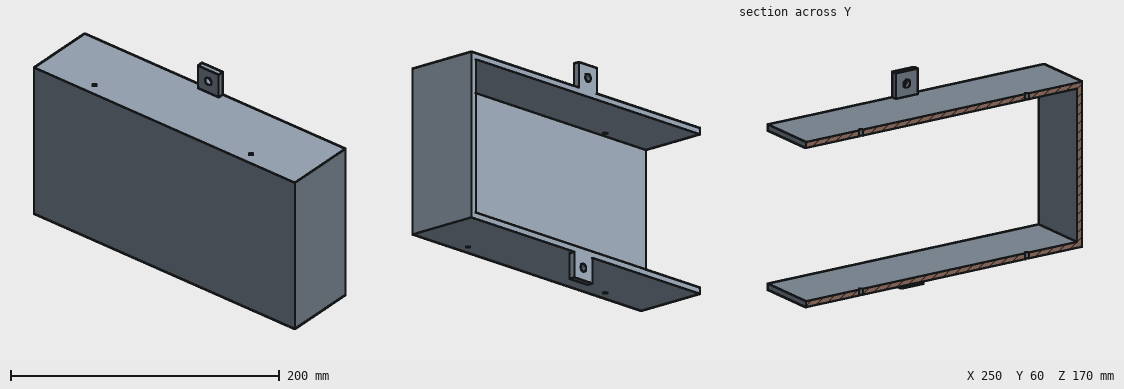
import cadquery as cq

length = 250.0
depth = 60.0
height = 130.0
wall = 5.0

tab_size = 20.0
tab_hole_diameter = 6.0
top_tab_center_x = -2.5
bottom_tab_center_x = 2.5

flange_hole_diameter = 3.0
flange_hole_spacing = 150.0
flange_hole_from_front = 10.0


def make_housing():
    """Box open at the rear and at the -X end, with its front face at Y = 0."""
    outer = cq.Workplane("XY").box(length, depth, height, centered=(True, False, True))
    cavity = (
        cq.Workplane("XY")
        .box(length - wall, depth - wall, height - 2 * wall, centered=(True, False, True))
        .translate((-wall / 2, wall, 0))
    )
    return outer.cut(cavity)


def make_tab(center_x, side):
    """Drilled tab standing on the top (side = 1) or bottom (side = -1) flange."""
    center_z = side * (height + tab_size) / 2
    tab = cq.Workplane("XY").box(tab_size, wall, tab_size)
    tab = tab.faces("<Y").workplane().hole(tab_hole_diameter)
    return tab.translate((center_x, depth - wall / 2, center_z))


def make_flange_drills():
    """Vertical cylinders that pass through both flanges."""
    half_spacing = flange_hole_spacing / 2
    return (
        cq.Workplane("XY")
        .pushPoints([(x, flange_hole_from_front) for x in (-half_spacing, half_spacing)])
        .circle(flange_hole_diameter / 2)
        .extrude(height / 2, both=True)
    )


result = (
    make_housing()
    .union(make_tab(top_tab_center_x, 1))
    .union(make_tab(bottom_tab_center_x, -1))
    .cut(make_flange_drills())
)